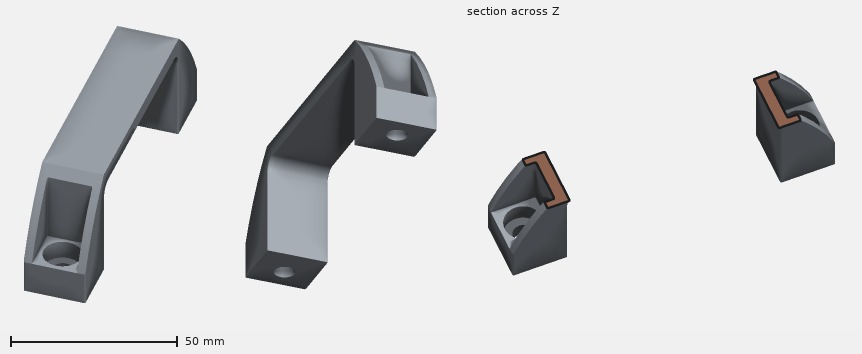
import cadquery as cq
import math

length = 105
width = 19.5
height = 36.0

foot_length = 17.8
opening_height = 31.0
opening_radius = 4.0
shoulder_run = 17.4
end_face_height = 10.8
shoulder_bulge = 1.6
edge_radius = 0.4

pocket_width = 14.3
pocket_length = 14.5
hole_inset = 7.5
hole_diameter = 6.5
counterbore_diameter = 12.0
counterbore_depth = 6.0

half_length = length / 2
half_top = half_length - shoulder_run
opening_length = length - 2 * foot_length


def make_body():
    """Bridge-shaped bar with bowed shoulders, before the opening is cut."""
    shoulder_rise = height - end_face_height
    chord = math.hypot(shoulder_run, shoulder_rise)
    mid_y = (half_length + half_top) / 2 + shoulder_bulge * shoulder_rise / chord
    mid_z = (height + end_face_height) / 2 + shoulder_bulge * shoulder_run / chord
    body = (
        cq.Workplane("YZ")
        .moveTo(-half_length, 0)
        .lineTo(-half_length, end_face_height)
        .threePointArc((-mid_y, mid_z), (-half_top, height))
        .lineTo(half_top, height)
        .threePointArc((mid_y, mid_z), (half_length, end_face_height))
        .lineTo(half_length, 0)
        .close()
        .extrude(width / 2, both=True)
    )
    return body.edges("|Z").fillet(edge_radius)


def cut_opening(body):
    """Cut the hand opening and round its rim on both sides."""
    opening = (
        cq.Workplane("XY")
        .box(width, opening_length, opening_height, centered=(True, True, False))
        .edges("|X and >Z")
        .fillet(opening_radius)
    )
    rim_zone = cq.selectors.BoxSelector(
        (-width, -opening_length / 2 - edge_radius, edge_radius),
        (width, opening_length / 2 + edge_radius, opening_height + edge_radius),
    )
    return body.cut(opening).edges(rim_zone).edges("not |X").fillet(edge_radius)


def make_recess(end):
    """Open pocket and counterbored screw hole; end is -1 or 1 along Y."""
    pocket_depth = height - end_face_height
    pocket = (
        cq.Workplane("XY", origin=(0, end * half_length, end_face_height))
        .box(pocket_width, 2 * pocket_length, pocket_depth, centered=(True, True, False))
        .edges("|Z")
        .fillet(edge_radius)
    )
    hole_y = end * (half_length - hole_inset)
    hole = (
        cq.Workplane("XY", origin=(0, hole_y, 0))
        .circle(hole_diameter / 2)
        .extrude(end_face_height)
    )
    counterbore = (
        cq.Workplane("XY", origin=(0, hole_y, end_face_height - counterbore_depth))
        .circle(counterbore_diameter / 2)
        .extrude(counterbore_depth)
    )
    return pocket.union(hole).union(counterbore)


result = cut_opening(make_body())
for end in (-1, 1):
    result = result.cut(make_recess(end))